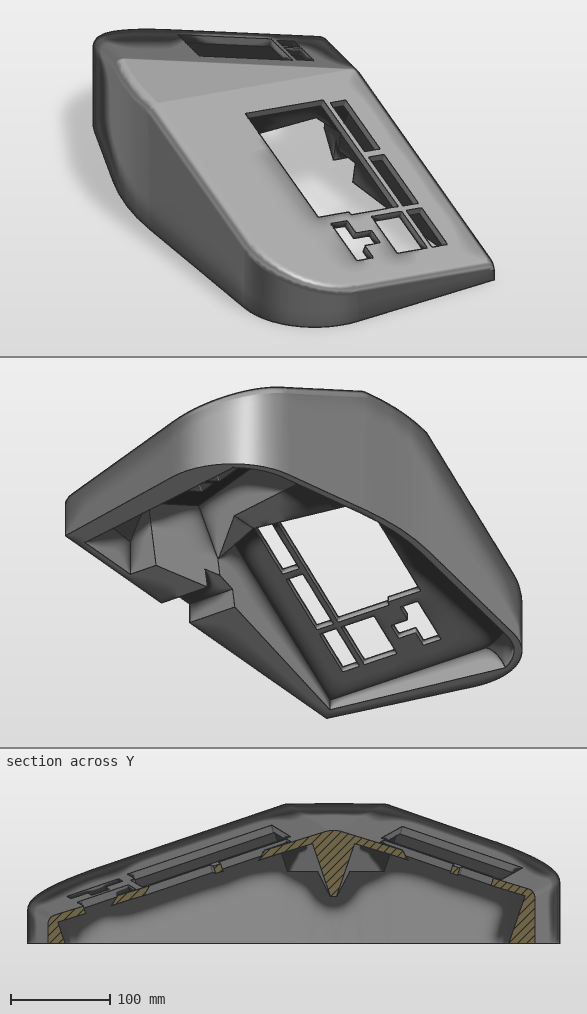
import cadquery as cq
APEX_HEIGHT = 111.0
TILT = 7.3
ROLL = 17.2
LEFT_YAW = 12.9
RIGHT_YAW = 11.6
PANEL_DEPTH = 250.5
LEFT_WIDTH = 204.0
RIGHT_WIDTH = 292.5

CORNER_RADIUS = 81.5
EDGE_RADIUS = 10.0
WALL = 8.0

BLOCK_START_X = -86.5
NOTCH_START_X = -19.5
NOTCH_WIDTH = 50.0
NOTCH_HEIGHT = 21.5
NOTCH_FRONT_Y = -107.5

DIVIDER_MARGIN = 19.5
DIVIDER_BOTTOM = 73.0
GUSSET_FRONT_Y = -50.0

OPENING_RADIUS = 1.3
WINDOW_BACK = -59.5
LEFT_SLOT_ROW = (-55.0, -37.0)
RIGHT_SLOT_ROW = (-54.0, -35.5)
KEYPAD_COLUMN = (200.5, 255.5)
LEFT_OPENINGS = [
    ((-160.5, -126.0), LEFT_SLOT_ROW),
    ((-118.0, -42.0), LEFT_SLOT_ROW),
    ((-168.0, -37.5), (-155.0, WINDOW_BACK)),
]
WINDOW_START = 33.5
RIGHT_OPENINGS = [
    ((38.5, 112.0), RIGHT_SLOT_ROW),
    ((120.5, 194.0), RIGHT_SLOT_ROW),
    (KEYPAD_COLUMN, RIGHT_SLOT_ROW),
    (KEYPAD_COLUMN, (-96.0, WINDOW_BACK)),
]
RIGHT_WINDOW = [
    (WINDOW_START, WINDOW_BACK),
    (193.5, WINDOW_BACK),
    (193.5, -116.5),
    (189.0, -116.5),
    (189.0, -153.5),
    (WINDOW_START, -153.5),
]
ARROW_X, ARROW_Y = KEYPAD_COLUMN[0], -145.0
ARROW_WIDTH = 56.0
ARROW_KEY = 19.0
ARROW_ROW = 20.0

OVERSIZE = 1074


def side_panel(yaw, roll):
    return centre.rotated((0, 0, yaw)).rotated((0, roll, 0))


apex = cq.Vector(0, 0, APEX_HEIGHT)
centre = cq.Plane(apex, (1, 0, 0), (0, 0, 1)).rotated((-TILT, 0, 0))
left = side_panel(-LEFT_YAW, -ROLL)
right = side_panel(RIGHT_YAW, ROLL)

left_back = left.toWorldCoords((-LEFT_WIDTH, 0))
left_front = left.toWorldCoords((-LEFT_WIDTH, -PANEL_DEPTH))
left_middle = left.toWorldCoords((0, -PANEL_DEPTH))
right_back = right.toWorldCoords((RIGHT_WIDTH, 0))
right_front = right.toWorldCoords((RIGHT_WIDTH, -PANEL_DEPTH))
right_middle = right.toWorldCoords((0, -PANEL_DEPTH))

back_edge = right_back - left_back
back = cq.Plane(apex, back_edge, (right_back - apex).cross(left_back - apex))


def in_plan(point):
    return (point.x, point.y)


def column(point):
    """Selects what stands on or above a plan position."""
    reach = 0.5
    return cq.selectors.BoxSelector(
        (point.x - reach, point.y - reach, -OVERSIZE),
        (point.x + reach, point.y + reach, OVERSIZE),
    )


def region_beyond(plane, axis, distance):
    """Everything further than a distance from the plane's origin along one of its axes."""
    block = cq.Workplane(plane).box(OVERSIZE, OVERSIZE, OVERSIZE)
    return block.translate(axis * (distance + OVERSIZE / 2))


def body(inset):
    """Body with vertical walls under the panels, moved inward by an inset except at the floor."""
    column_height = 2 * APEX_HEIGHT
    solid = (
        cq.Workplane("XY")
        .moveTo(*in_plan(left_back))
        .lineTo(*in_plan(left_front))
        .lineTo(*in_plan(left_middle))
        .tangentArcPoint(in_plan(right_middle), relative=False)
        .lineTo(*in_plan(right_front))
        .lineTo(*in_plan(right_back))
        .close()
        .extrude(column_height)
        .edges("|Z")
        .edges(column(left_front) + column(right_front))
        .fillet(CORNER_RADIUS)
    )
    if inset > 0:
        floor_outline = cq.Workplane("XY").add(solid.faces("<Z").wires().vals())
        solid = floor_outline.toPending().offset2D(-inset).extrude(column_height)
    for face in (left, centre, right, back):
        solid = solid.cut(region_beyond(face, face.zDir, -inset))
    return solid


def round_top_edges(solid):
    """Rounds every edge around the panels; the low edge along the back wall stays sharp."""
    above_floor = cq.selectors.BoxSelector(
        (-OVERSIZE, -OVERSIZE, 0.5), (OVERSIZE, OVERSIZE, OVERSIZE)
    )
    low_back_edge = column((left_back + right_back) * 0.5)
    edges = solid.edges("not |Z").edges(above_floor - low_back_edge)
    return edges.fillet(EDGE_RADIUS)


def back_block():
    """Solid behind two faces that stand square to the side panels."""
    block = region_beyond(left, left.yDir, -WALL).intersect(region_beyond(right, right.yDir, -WALL))
    world = cq.Plane.XY()
    return block.intersect(region_beyond(world, world.xDir, BLOCK_START_X))


def divider():
    """Wedge between the two side cavities, open underneath ahead of its gusset."""
    wedge = region_beyond(left, left.xDir, -DIVIDER_MARGIN).intersect(
        region_beyond(right, -right.xDir, -DIVIDER_MARGIN)
    )
    side_profile = [
        (-OVERSIZE, DIVIDER_BOTTOM),
        (GUSSET_FRONT_Y, DIVIDER_BOTTOM),
        (GUSSET_FRONT_Y + DIVIDER_BOTTOM, 0),
        (OVERSIZE, 0),
        (OVERSIZE, OVERSIZE),
        (-OVERSIZE, OVERSIZE),
    ]
    kept = cq.Workplane("YZ").polyline(side_profile).close().extrude(OVERSIZE, both=True)
    return wedge.intersect(kept)


def cavity():
    """Hollow open at the floor, with side walls square to the side panels."""
    return (
        body(WALL)
        .cut(region_beyond(left, -left.xDir, LEFT_WIDTH - WALL))
        .cut(region_beyond(right, right.xDir, RIGHT_WIDTH - WALL))
        .cut(back_block())
        .cut(divider())
    )


def back_notch():
    notch = cq.Workplane("XY").box(NOTCH_WIDTH, OVERSIZE, NOTCH_HEIGHT, centered=False)
    return notch.translate((NOTCH_START_X, NOTCH_FRONT_Y, 0))


def opening(panel, points):
    """Cutter through a panel, square to it, with rounded corners."""
    cutter = cq.Workplane(panel).polyline(points).close().extrude(2 * WALL, both=True)
    return cutter.edges(cq.selectors.ParallelDirSelector(panel.zDir)).fillet(OPENING_RADIUS)


def rectangle(x_range, y_range):
    x0, x1 = x_range
    y0, y1 = y_range
    return [(x0, y0), (x1, y0), (x1, y1), (x0, y1)]


def arrow_outline():
    x_end = ARROW_X + ARROW_WIDTH
    key_start = ARROW_X + (ARROW_WIDTH - ARROW_KEY) / 2
    key_end = key_start + ARROW_KEY
    shoulder = ARROW_Y + ARROW_ROW
    top = shoulder + ARROW_KEY
    return [
        (ARROW_X, ARROW_Y),
        (x_end, ARROW_Y),
        (x_end, shoulder),
        (key_end, shoulder),
        (key_end, top),
        (key_start, top),
        (key_start, shoulder),
        (ARROW_X, shoulder),
    ]


result = round_top_edges(body(0)).cut(cavity()).cut(back_notch())

for ranges in LEFT_OPENINGS:
    result = result.cut(opening(left, rectangle(*ranges)))
for ranges in RIGHT_OPENINGS:
    result = result.cut(opening(right, rectangle(*ranges)))
for outline in (RIGHT_WINDOW, arrow_outline()):
    result = result.cut(opening(right, outline))